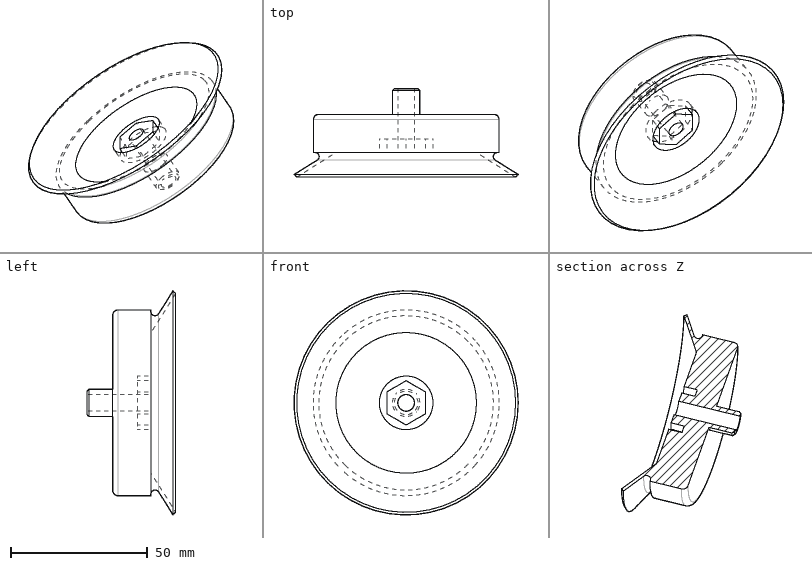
import cadquery as cq
import math


rim_edge_y = 1.0
body_front_y = 9.0
cup_floor_y = body_front_y
body_back_y = 23.0
pin_end_y = 32.4

rim_radius = 41.0
rim_mouth_radius = 40.0
cup_floor_radius = 25.7
neck_top_radius = 33.4
neck_groove_radius = 1.5
body_radius = 68.0 / 2
body_fillet = 2.0
pin_radius = 10.0 / 2
pin_chamfer = 0.7

recess_radius = 19.6 / 2
recess_depth = 5.0
hex_across_flats = 14.0
hex_across_corners = hex_across_flats / math.cos(math.pi / 6)
bore_radius = 6.0 / 2


def disc(radius, start_y, end_y):
    """Solid cylinder about the Y axis between two Y positions."""
    plane = cq.Workplane("XZ", origin=(0, start_y, 0))
    return plane.circle(radius).extrude(start_y - end_y)


def make_cup():
    """Flared cup with a sharp rim, revolved about Y.

    The neck groove is an arc that runs tangent to the outer cone and to the
    front face of the body.
    """
    groove_x = neck_top_radius
    groove_y = body_front_y - neck_groove_radius

    to_rim_x = rim_radius - groove_x
    to_rim_y = rim_edge_y - groove_y
    tangent_turn = math.acos(neck_groove_radius / math.hypot(to_rim_x, to_rim_y))
    tangent_angle = math.atan2(to_rim_y, to_rim_x) - tangent_turn
    cone_end_x = groove_x + neck_groove_radius * math.cos(tangent_angle)
    cone_end_y = groove_y + neck_groove_radius * math.sin(tangent_angle)

    profile = (
        cq.Workplane("XY")
        .moveTo(0, cup_floor_y)
        .lineTo(cup_floor_radius, cup_floor_y)
        .lineTo(rim_mouth_radius, 0)
        .lineTo(rim_radius, rim_edge_y)
        .lineTo(cone_end_x, cone_end_y)
        .threePointArc((groove_x - neck_groove_radius, groove_y), (neck_top_radius, body_front_y))
        .lineTo(neck_top_radius, body_back_y - body_fillet)
        .lineTo(0, body_back_y - body_fillet)
        .close()
    )
    return profile.revolve(360, (0, 0, 0), (0, 1, 0))


def make_body():
    """Thick disc behind the cup with a rounded back edge."""
    return disc(body_radius, body_front_y, body_back_y).faces(">Y").edges().fillet(body_fillet)


def make_pin():
    """Round pin on the back of the body with a chamfered end."""
    return disc(pin_radius, body_front_y, pin_end_y).faces(">Y").edges().chamfer(pin_chamfer)


def make_recess():
    """Ring-shaped pocket that leaves a hexagon flush with the cup floor."""
    recess_bottom_y = cup_floor_y + recess_depth
    hexagon = (
        cq.Workplane("XZ", origin=(0, cup_floor_y, 0))
        .transformed(rotate=(0, 0, 90))
        .polygon(6, hex_across_corners)
        .extrude(-recess_depth)
    )
    return disc(recess_radius, cup_floor_y, recess_bottom_y).cut(hexagon)


bore = disc(bore_radius, 0, pin_end_y)
result = make_cup().union(make_body()).union(make_pin()).cut(make_recess()).cut(bore)